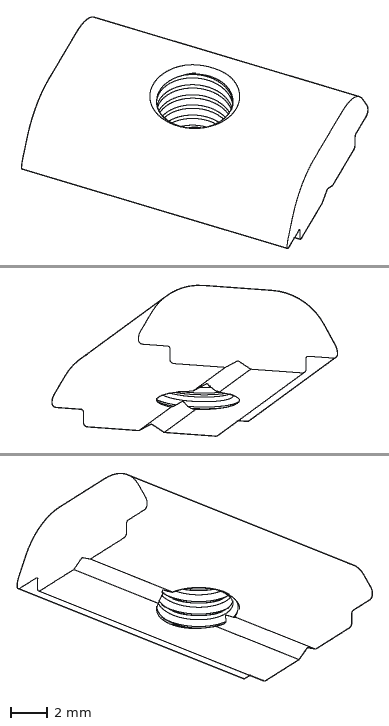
import cadquery as cq
import math

length = 16.0
width = 11.6
height = 4.6

base_width = 7.94
base_height = 0.98
shoulder_radius = 3.49
side_slope = 60.0
side_radius = 1.0
lower_edge_radius = 0.25
base_edge_radius = 0.24
inner_corner_radius = 0.13

groove_width = 1.47
groove_depth = 0.43
groove_tip_radius = 0.13

hole_diameter = 4.24
thread_diameter = 5.0
countersink_diameter = 5.0
countersink_angle = 90.0
thread_pitch = 0.8
thread_flank_angle = 30.0
thread_root_width = thread_pitch / 8
thread_overlap = 0.05
thread_turns = 7
thread_start_angle = 225.0
thread_start_z = -0.91


def make_body():
    """Extrude the symmetric cross-section along X."""
    slope = math.radians(side_slope)
    half_width = width / 2
    half_base = base_width / 2

    round_bottom_z = base_height + lower_edge_radius
    round_top_y = half_width - side_radius * (1 - math.sin(slope))
    round_top_z = round_bottom_z + side_radius * math.cos(slope)
    round_mid = math.radians((90 - side_slope) / 2)
    round_mid_y = half_width - side_radius * (1 - math.cos(round_mid))
    round_mid_z = round_bottom_z + side_radius * math.sin(round_mid)

    shoulder_end_z = height - shoulder_radius * (1 - math.cos(slope))
    shoulder_end_y = round_top_y - (shoulder_end_z - round_top_z) / math.tan(slope)
    half_flat = shoulder_end_y - shoulder_radius * math.sin(slope)
    shoulder_mid_y = half_flat + shoulder_radius * math.sin(slope / 2)
    shoulder_mid_z = height - shoulder_radius * (1 - math.cos(slope / 2))

    profile = (
        cq.Workplane("YZ")
        .workplane(offset=-length / 2)
        .moveTo(0, 0)
        .lineTo(half_base - base_edge_radius, 0)
        .radiusArc((half_base, base_edge_radius), -base_edge_radius)
        .lineTo(half_base, base_height - inner_corner_radius)
        .radiusArc((half_base + inner_corner_radius, base_height), inner_corner_radius)
        .lineTo(half_width - lower_edge_radius, base_height)
        .radiusArc((half_width, round_bottom_z), -lower_edge_radius)
        .threePointArc((round_mid_y, round_mid_z), (round_top_y, round_top_z))
        .lineTo(shoulder_end_y, shoulder_end_z)
        .threePointArc((shoulder_mid_y, shoulder_mid_z), (half_flat, height))
        .lineTo(0, height)
        .close()
    )
    half = profile.extrude(length)
    return half.union(half.mirror("XZ"))


def make_groove():
    """V-shaped cutter with a rounded tip, running the full length."""
    return (
        cq.Workplane("YZ")
        .workplane(offset=-length / 2)
        .polyline([(-groove_width / 2, 0), (0, groove_depth), (groove_width / 2, 0)])
        .close()
        .extrude(length)
        .edges("|X and >Z")
        .fillet(groove_tip_radius)
    )


def make_countersink():
    """Cone that opens the top of the hole."""
    radius = countersink_diameter / 2
    depth = radius / math.tan(math.radians(countersink_angle / 2))
    return cq.Workplane("XY").add(
        cq.Solid.makeCone(0, radius, depth, cq.Vector(0, 0, height - depth))
    )


def make_thread():
    """Right-handed helical V groove, cut off level with the foot of the countersink."""
    inner_radius = hole_diameter / 2 - thread_overlap
    outer_radius = thread_diameter / 2
    half_root = thread_root_width / 2
    flank_rise = (outer_radius - inner_radius) * math.tan(math.radians(thread_flank_angle))
    half_mouth = half_root + flank_rise
    countersink_depth = (countersink_diameter - hole_diameter) / 2 / math.tan(
        math.radians(countersink_angle / 2)
    )
    thread_height = thread_turns * thread_pitch
    helix = cq.Wire.makeHelix(
        thread_pitch, thread_height, inner_radius, cq.Vector(0, 0, thread_start_z)
    )
    spiral = (
        cq.Workplane("XZ")
        .polyline([
            (inner_radius, thread_start_z - half_mouth),
            (outer_radius, thread_start_z - half_root),
            (outer_radius, thread_start_z + half_root),
            (inner_radius, thread_start_z + half_mouth),
        ])
        .close()
        .sweep(cq.Workplane(helix), isFrenet=True)
        .rotate((0, 0, 0), (0, 0, 1), thread_start_angle)
    )
    threaded_zone = cq.Workplane("XY").circle(thread_diameter).extrude(height - countersink_depth)
    return spiral.intersect(threaded_zone)


hole = cq.Workplane("XY").circle(hole_diameter / 2).extrude(height)
result = make_body().cut(make_groove()).cut(hole).cut(make_thread()).cut(make_countersink())